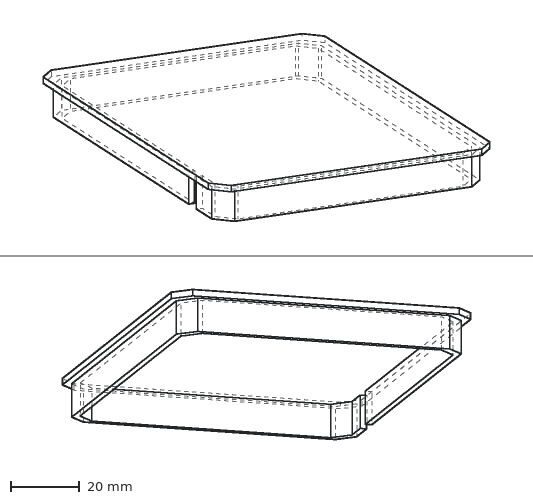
import cadquery as cq

plate_length = 122.0
plate_width = 91.0
plate_thickness = 2.0
total_height = 12.0
plate_chamfer = 5.0

skirt_inset = 2.2
wall_thickness = 2.0
skirt_chamfer = 5.0
skirt_height = total_height - plate_thickness
skirt_length = plate_length - 2 * skirt_inset
skirt_width = plate_width - 2 * skirt_inset

gap_width = 5.1
gap_center_x = 40.8


def chamfered_block(length, width, height, chamfer, base_z):
    """Rectangular block with its four vertical corners cut at 45 degrees."""
    return (
        cq.Workplane("XY")
        .workplane(offset=base_z)
        .rect(length, width)
        .extrude(height)
        .edges("|Z")
        .chamfer(chamfer)
    )


plate = chamfered_block(plate_length, plate_width, plate_thickness, plate_chamfer, skirt_height)

skirt_outer = chamfered_block(skirt_length, skirt_width, skirt_height, skirt_chamfer, 0)
skirt_cavity = chamfered_block(
    skirt_length - 2 * wall_thickness,
    skirt_width - 2 * wall_thickness,
    skirt_height,
    skirt_chamfer,
    0,
)
skirt = skirt_outer.cut(skirt_cavity)

gap_cutter_depth = 4 * wall_thickness
gap = cq.Workplane("XY").box(
    gap_width, gap_cutter_depth, skirt_height, centered=(True, True, False)
).translate((gap_center_x, -skirt_width / 2, 0))

result = plate.union(skirt.cut(gap))